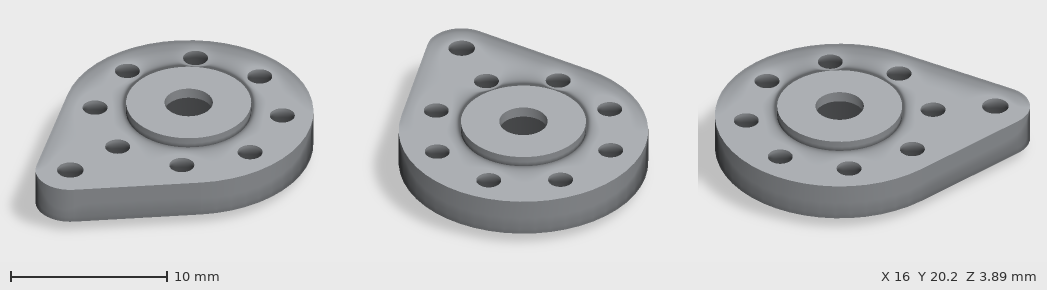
import cadquery as cq
import math

plate_thickness = 2.49
disc_radius = 7.99
tip_radius = 2.22
tip_distance = 10.0

boss_height = 0.7
top_boss_diameter = 8.0
bottom_boss_diameter = 9.0

bore_diameter = 3.1
seat_diameter = 6.0
bore_lip = 0.7

ring_hole_diameter = 1.6
ring_hole_count = 8
ring_radius = 6.0
tip_hole_diameter = 1.7

total_height = plate_thickness + 2 * boss_height
plate_bottom = boss_height
plate_top = plate_bottom + plate_thickness


def cylinder(diameter, bottom, height):
    """Upright cylinder on the disc axis."""
    return cq.Workplane("XY").workplane(offset=bottom).circle(diameter / 2).extrude(height)


def teardrop_plate():
    tangent_angle = math.asin((disc_radius - tip_radius) / tip_distance)
    across = math.cos(tangent_angle)
    down = math.sin(tangent_angle)
    disc_x = disc_radius * across
    disc_y = -disc_radius * down
    tip_x = tip_radius * across
    tip_y = -tip_distance - tip_radius * down
    return (
        cq.Workplane("XY")
        .workplane(offset=plate_bottom)
        .moveTo(disc_x, disc_y)
        .threePointArc((0, disc_radius), (-disc_x, disc_y))
        .lineTo(-tip_x, tip_y)
        .threePointArc((0, -tip_distance - tip_radius), (tip_x, tip_y))
        .close()
        .extrude(plate_thickness)
    )


def small_holes():
    ring = (
        cq.Workplane("XY")
        .polarArray(ring_radius, 0, 360, ring_hole_count)
        .circle(ring_hole_diameter / 2)
        .extrude(total_height)
    )
    tip = (
        cq.Workplane("XY")
        .center(0, -tip_distance)
        .circle(tip_hole_diameter / 2)
        .extrude(total_height)
    )
    return ring.union(tip)


body = (
    teardrop_plate()
    .union(cylinder(top_boss_diameter, plate_top, boss_height))
    .union(cylinder(bottom_boss_diameter, 0, boss_height))
)
result = (
    body.cut(cylinder(bore_diameter, 0, total_height))
    .cut(cylinder(seat_diameter, 0, total_height - bore_lip))
    .cut(small_holes())
)